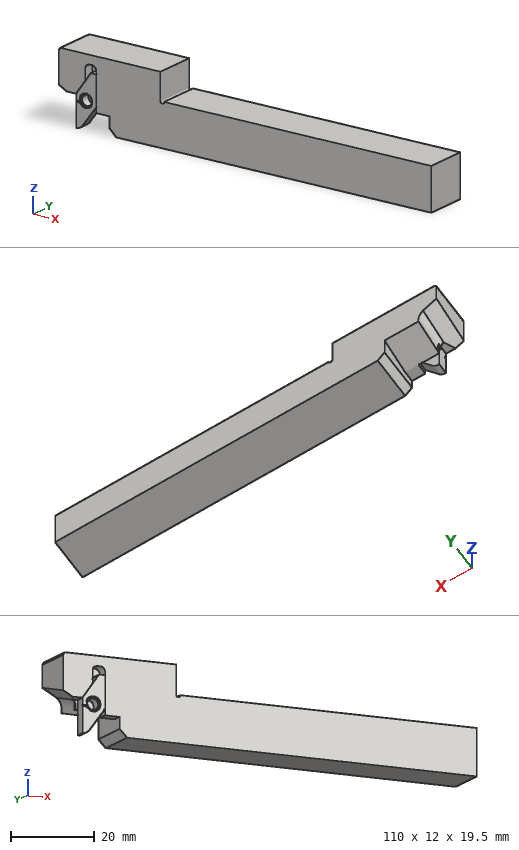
import cadquery as cq

LENGTH = 110.0
DEPTH = 12.0
HEIGHT = 19.5
SHANK_HEIGHT = 12.0
HEAD_LENGTH = 30.0
UNDERCUT_RADIUS = 0.5
TOP_EDGE_RUN = 0.4
TOP_EDGE_DROP = 0.7

CLEARANCE_RISE = 0.27
BEVEL_TOP = 10.8
LIP_X = 5.2
LIP_BEVEL_X = 3.8
LIP_TOP = 8.7
LIP_ROUND_MID = (4.8, 7.5)
LIP_BOTTOM = 5.9
LEDGE_Z = 5.0

PAD_LEFT = 4.7
PAD_RIGHT = 5.7
PAD_BOTTOM = 6.4
PAD_TOP = 8.2
PAD_THICKNESS = 0.8

SHANK_WALL_X = 15.0
SHANK_CHAMFER_RUN = 2.0
SHANK_CHAMFER_RISE = 2.0

INSERT_THICKNESS = 3.0
INSERT_LEFT = 5.2
INSERT_RIGHT = 11.1
INSERT_TOP = 14.8
INSERT_TOP_LEFT = 9.5
LEFT_SHOULDER_Z = 8.8
RIGHT_SHOULDER_Z = 6.5
NOSE_FLAT = 0.4
NOSE_MID = (6.4, 0.3)
NOSE_END = (7.2, 1.1)
HOLE_X = 8.0
HOLE_Z = 7.5
HOLE_RADIUS = 1.4
COUNTERBORE_RADIUS = 1.9
COUNTERBORE_DEPTH = 0.4
GROOVE_Z = 6.8
GROOVE_WIDTH = 0.3
GROOVE_DEPTH = 0.3

SLOT_LEFT = 7.8
SLOT_TOP = 16.9
SLOT_CORNER = 1.3


def front_plane(y=0.0):
    """XZ sketch plane at the given Y; positive extrusion runs towards -Y."""
    return cq.Workplane("XZ", origin=(0, y, 0))


def insert_blank():
    """Pointed insert without its hole."""
    return (
        front_plane()
        .moveTo(INSERT_LEFT, 0)
        .lineTo(INSERT_LEFT, LEFT_SHOULDER_Z)
        .lineTo(INSERT_TOP_LEFT, INSERT_TOP)
        .lineTo(INSERT_RIGHT, INSERT_TOP)
        .lineTo(INSERT_RIGHT, RIGHT_SHOULDER_Z)
        .lineTo(*NOSE_END)
        .threePointArc(NOSE_MID, (INSERT_LEFT + NOSE_FLAT, 0))
        .close()
        .extrude(-INSERT_THICKNESS)
    )


def make_insert():
    hole = front_plane().center(HOLE_X, HOLE_Z).circle(HOLE_RADIUS).extrude(-INSERT_THICKNESS)
    counterbore = front_plane().center(HOLE_X, HOLE_Z).circle(COUNTERBORE_RADIUS).extrude(-COUNTERBORE_DEPTH)
    groove = cq.Workplane().box(
        HOLE_X - INSERT_LEFT, GROOVE_DEPTH, GROOVE_WIDTH, centered=(False, False, True)
    ).translate((INSERT_LEFT, 0, GROOVE_Z))
    return insert_blank().cut(hole).cut(counterbore).cut(groove)


def holder_blank():
    """Shank and taller head, before the underside of the head is cleared."""
    return (
        front_plane()
        .moveTo(0, 0)
        .lineTo(LENGTH, 0)
        .lineTo(LENGTH, SHANK_HEIGHT)
        .lineTo(HEAD_LENGTH, SHANK_HEIGHT)
        .lineTo(HEAD_LENGTH, HEIGHT)
        .lineTo(TOP_EDGE_RUN, HEIGHT)
        .lineTo(0, HEIGHT - TOP_EDGE_DROP)
        .close()
        .extrude(-DEPTH)
    )


def shank_undercut():
    return (
        front_plane()
        .center(HEAD_LENGTH + UNDERCUT_RADIUS, SHANK_HEIGHT)
        .circle(UNDERCUT_RADIUS)
        .extrude(-DEPTH)
    )


def clearance_section(y):
    """Outline of the cleared space at depth y, with its floor well below the part."""
    rise = CLEARANCE_RISE * (y - INSERT_THICKNESS)
    sketch = (
        front_plane(y)
        .moveTo(0, BEVEL_TOP + rise)
        .lineTo(LIP_BEVEL_X, LIP_TOP + rise)
        .threePointArc((LIP_ROUND_MID[0], LIP_ROUND_MID[1] + rise), (LIP_X, LIP_BOTTOM + rise))
        .lineTo(LIP_X, LEDGE_Z + rise)
        .lineTo(SHANK_WALL_X, LEDGE_Z + rise)
        .lineTo(SHANK_WALL_X, rise - HEIGHT)
        .lineTo(0, rise - HEIGHT)
        .close()
    )
    return sketch.wires().val()


def head_clearance():
    """Sheared prism that keeps the same section while rising towards the back."""
    return cq.Workplane(
        cq.Solid.makeLoft([clearance_section(0), clearance_section(DEPTH)], True)
    )


def front_clearance():
    """Level clearance below the head in the layer that holds the insert."""
    return (
        front_plane()
        .moveTo(0, 0)
        .lineTo(0, LIP_TOP)
        .lineTo(INSERT_LEFT, LIP_TOP)
        .lineTo(INSERT_LEFT, LEDGE_Z)
        .lineTo(SHANK_WALL_X, LEDGE_Z)
        .lineTo(SHANK_WALL_X, 0)
        .close()
        .extrude(-INSERT_THICKNESS)
    )


def seat_pad():
    """Pad just behind the seat plane, standing proud of the lip round."""
    return (
        cq.Workplane()
        .box(PAD_RIGHT - PAD_LEFT, PAD_THICKNESS, PAD_TOP - PAD_BOTTOM, centered=False)
        .translate((PAD_LEFT, INSERT_THICKNESS, PAD_BOTTOM))
    )


def shank_chamfer():
    return (
        front_plane()
        .moveTo(SHANK_WALL_X, 0)
        .lineTo(SHANK_WALL_X + SHANK_CHAMFER_RUN, 0)
        .lineTo(SHANK_WALL_X, SHANK_CHAMFER_RISE)
        .close()
        .extrude(-DEPTH)
    )


def insert_pocket():
    """Seat for the insert, open downwards beside its nose, with the relief slot above."""
    seat = (
        front_plane()
        .moveTo(INSERT_LEFT, LEDGE_Z)
        .lineTo(INSERT_LEFT, LEFT_SHOULDER_Z)
        .lineTo(INSERT_TOP_LEFT, INSERT_TOP)
        .lineTo(INSERT_RIGHT, INSERT_TOP)
        .lineTo(INSERT_RIGHT, LEDGE_Z)
        .close()
        .extrude(-INSERT_THICKNESS)
    )
    slot = (
        cq.Workplane()
        .box(INSERT_RIGHT - SLOT_LEFT, INSERT_THICKNESS, SLOT_TOP - HOLE_Z, centered=False)
        .edges("|Y and >Z")
        .fillet(SLOT_CORNER)
        .translate((SLOT_LEFT, 0, HOLE_Z))
    )
    return seat.union(slot)


def make_holder():
    return (
        holder_blank()
        .cut(shank_undercut())
        .cut(head_clearance())
        .cut(front_clearance())
        .union(seat_pad())
        .cut(shank_chamfer())
        .cut(insert_pocket())
    )


holder = make_holder()
insert = make_insert()
result = cq.Compound.makeCompound([holder.val(), insert.val()])